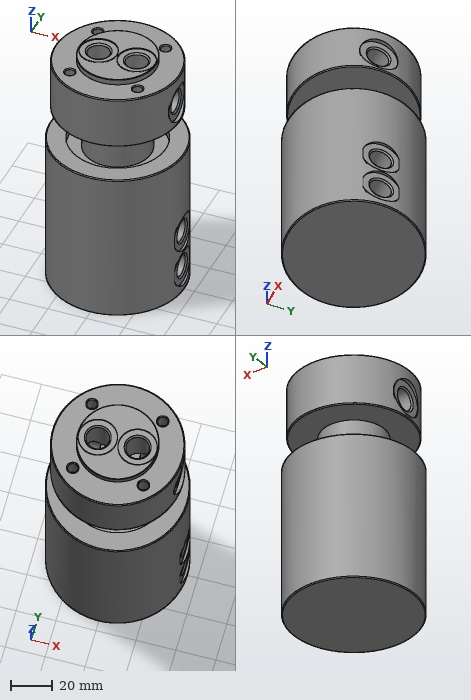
import cadquery as cq

body_diameter = 70.0
body_height = 81.5
head_diameter = 65.0
head_height = 28.0
neck_diameter = 35.0
boss_diameter = 40.0
boss_height = 3.0
total_height = 131.0
head_top = total_height - boss_height
head_bottom = head_top - head_height
edge_chamfer = 0.5

recess_diameter = 50.0
recess_depth = 5.0

bore_diameter = 11.4
mouth_chamfer = 0.8
top_spotface_diameter = 19.0
top_spotface_depth = 0.5
side_spotface_diameter = 20.0
head_spotface_depth = 2.0
body_spotface_depth = 1.3
port_offset = 10.0
head_port_height = 111.6
lower_body_port_height = 13.6
body_port_spacing = 21.0

mount_diameter = 5.0
mount_spacing = 35.4
mount_depth = 10.0
mount_chamfer = 0.5
mount_tip_depth = 1.5


def disc(diameter, bottom, height):
    """Solid cylinder on the Z axis."""
    return cq.Workplane("XY").workplane(offset=bottom).circle(diameter / 2).extrude(height)


def cylinder(diameter, start, direction, length):
    """Solid cylinder from a start point along a direction."""
    return cq.Workplane(cq.Solid.makeCylinder(diameter / 2, length, start, direction))


def chamfered_bore(diameter, chamfer, mouth, direction, depth):
    """Cutter for a blind bore whose mouth is chamfered at 45 degrees."""
    radius = diameter / 2
    cone = cq.Solid.makeCone(radius + chamfer, radius, chamfer, mouth, direction)
    return cylinder(diameter, mouth, direction, depth).union(cq.Workplane(cone))


def port(spotface_diameter, spotface_depth, surface, direction, depth):
    """Cutter for a spotfaced port; depth is measured from the outer surface."""
    seat = surface + direction * spotface_depth
    spotface = cylinder(spotface_diameter, surface, direction, spotface_depth)
    bore = chamfered_bore(bore_diameter, mouth_chamfer, seat, direction, depth - spotface_depth)
    return spotface.union(bore)


def side_port(side, outer_diameter, height, spotface_depth):
    """Port along X from the given side (-1 or 1), ending at the port offset."""
    radius = outer_diameter / 2
    surface = cq.Vector(side * radius, 0, height)
    inward = cq.Vector(-side, 0, 0)
    depth = radius - port_offset
    return port(side_spotface_diameter, spotface_depth, surface, inward, depth)


def mounting_hole(x, y):
    """Cutter for a chamfered blind hole with a conical tip."""
    down = cq.Vector(0, 0, -1)
    hole = chamfered_bore(mount_diameter, mount_chamfer, cq.Vector(x, y, head_top), down, mount_depth)
    tip_start = cq.Vector(x, y, head_top - mount_depth)
    tip = cq.Solid.makeCone(mount_diameter / 2, 0, mount_tip_depth, tip_start, down)
    return hole.union(cq.Workplane(tip))


body = disc(body_diameter, 0, body_height).edges().chamfer(edge_chamfer)
body = body.cut(disc(recess_diameter, body_height - recess_depth, recess_depth))
neck_bottom = body_height - recess_depth
neck = disc(neck_diameter, neck_bottom, head_bottom - neck_bottom)
head = disc(head_diameter, head_bottom, head_height).edges().chamfer(edge_chamfer)
boss = disc(boss_diameter, head_top, boss_height).edges(">Z").chamfer(edge_chamfer / 2)
result = body.union(neck).union(head).union(boss)

for side in (-1, 1):
    top_surface = cq.Vector(side * port_offset, 0, total_height)
    top_port_depth = total_height - head_port_height
    down = cq.Vector(0, 0, -1)
    result = result.cut(port(top_spotface_diameter, top_spotface_depth, top_surface, down, top_port_depth))
    result = result.cut(side_port(side, head_diameter, head_port_height, head_spotface_depth))

for index in range(2):
    height = lower_body_port_height + index * body_port_spacing
    result = result.cut(side_port(1, body_diameter, height, body_spotface_depth))

for x_side in (-1, 1):
    for y_side in (-1, 1):
        result = result.cut(mounting_hole(x_side * mount_spacing / 2, y_side * mount_spacing / 2))